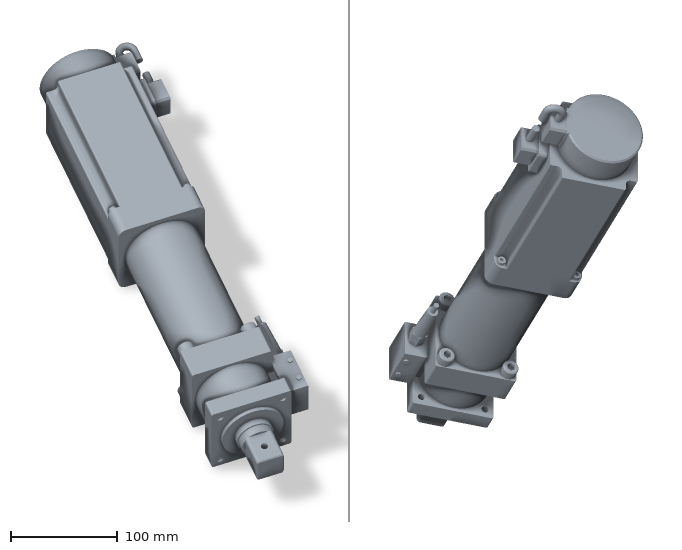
import cadquery as cq
import math


ENCODER_START = 19.0
MOTOR_START = 50.5
CORNER_CHANNEL_END = 210.0
MOTOR_END = 222.0
ADAPTER_FLANGE_END = 238.0
JOINT_FLANGE_START = 388.0
JOINT = 400.0
REAR_PLATE_END = 419.0
FRONT_FLANGE_START = 453.0
FRONT_FLANGE_END = 469.5
PILOT_END = 473.0
GLAND_END = 479.5
ROD_SHOULDER_END = 487.5
ROD_TIP = 519.0

MOTOR_WIDTH = 87.0
MOTOR_CORNER_RADIUS = 8.5
ENCODER_RADIUS = 38.5
ENCODER_CHAMFER = 1.5
TUBE_RADIUS = 37.0
FLANGE_WIDTH = 80.5
FLANGE_CORNER_RADIUS = 2.0
PILOT_DIAMETER = 61.5
GLAND_DIAMETER = 37.0
ROD_SHOULDER_DIAMETER = 33.5
ROD_END_WIDTH = 27.5
ROD_END_CORNER_RADIUS = 3.0
ROD_TIP_CHAMFER = 1.0
CROSS_HOLE_DIAMETER = 7.0
CROSS_HOLE_X = 502.5

CHANNEL_WIDTH = 12.0
CHANNEL_ROOT_RADIUS = 5.0
CHANNEL_LIP_RADIUS = 1.5
MOTOR_SCREW_OFFSET = 37.5
MOTOR_SCREW_DIAMETER = 8.0
MOTOR_SCREW_LENGTH = 4.0
MOTOR_SOCKET_DIAMETER = 4.0
MOTOR_SOCKET_DEPTH = 2.5

FLANGE_BOLT_OFFSET = 31.5
FLANGE_SCREW_DIAMETER = 15.5
FLANGE_SCREW_LENGTH = 10.0
FLANGE_SCREW_EDGE_RADIUS = 1.5
FLANGE_SOCKET_DIAMETER = 8.5
FLANGE_SOCKET_DEPTH = 5.0
FLANGE_HOLE_DIAMETER = 7.0

CABLE_DIAMETER = 7.5
CONNECTOR_HEIGHT = 26.0
CONNECTOR_CHAMFER = 2.0
ENCODER_CONNECTOR_START = 19.5
ENCODER_CONNECTOR_LENGTH = 25.0
ENCODER_PAD_TOP = 37.5
ENCODER_PAD_HEIGHT = 29.0
ENCODER_CONNECTOR_TOP = 54.0
ENCODER_CABLE_Y = 46.0
CABLE_BEND_RADIUS = 7.5
ENCODER_CABLE_END = 24.5
POWER_CONNECTOR_START = 59.5
POWER_CONNECTOR_LENGTH = 25.5
POWER_CONNECTOR_TOP = 68.5
POWER_BASE_OVERHANG = 3.0
POWER_BASE_HEIGHT = 36.5
POWER_BASE_TOP = 52.5
POWER_BASE_CORNER_RADIUS = 3.5
POWER_CABLE_START = 41.0

SENSOR_START = 409.0
SENSOR_END = 454.0
SENSOR_BOTTOM = 41.0
SENSOR_TOP = 63.5
SENSOR_HEIGHT = 36.5
SENSOR_EDGE_RADIUS = 1.5
SENSOR_SCREW_STATIONS = (420.0, 442.5)
SENSOR_SCREW_Y = 58.0
SENSOR_SCREW_DIAMETER = 5.0
SENSOR_SCREW_SPAN = 39.5
SENSOR_FOOT_START = 423.0
SENSOR_FOOT_LENGTH = 26.0
SENSOR_FOOT_HEIGHT = 26.0
PLUG_Y = 53.0
PLUG_NUT_START = 395.0
PLUG_NUT_WIDTH = 14.0
PLUG_SLEEVE_START = 359.0
PLUG_SLEEVE_SMALL_DIAMETER = 11.0
PLUG_SLEEVE_LARGE_DIAMETER = 14.0
PLUG_CABLE_START = 348.0
PLUG_CABLE_DIAMETER = 5.0


def section(x, y=0.0):
    """Workplane across the X axis at station x, with its local x along +Z."""
    return cq.Workplane(cq.Plane(origin=(x, y, 0), xDir=(0, 0, 1), normal=(1, 0, 0)))


def rod(start, end, diameter, y=0.0):
    """Round bar along X."""
    return section(start, y).circle(diameter / 2).extrude(end - start)


def square_bar(start, end, width, corner_radius):
    """Square bar along X with rounded long edges."""
    return section(start).rect(width, width).extrude(end - start).edges("|X").fillet(corner_radius)


def box(x_range, y_range, height):
    """Box between X and Y limits, centred on Z = 0."""
    size_x = x_range[1] - x_range[0]
    size_y = y_range[1] - y_range[0]
    return cq.Workplane("XY").box(size_x, size_y, height, centered=(False, False, True)).translate(
        (x_range[0], y_range[0], 0)
    )


def four_corners(offset):
    """Points at the corners of a square pattern centred on the axis."""
    return [(side * offset, level * offset) for side in (-1, 1) for level in (-1, 1)]


def socket_screws(seat, offset, diameter, length, socket_diameter, socket_depth, edge_radius=None):
    """Four screw heads standing on a face at X = seat, with hexagon sockets facing -X."""
    points = four_corners(offset)
    heads = section(seat - length).pushPoints(points).circle(diameter / 2).extrude(length)
    if edge_radius:
        heads = heads.faces("<X").edges().fillet(edge_radius)
    sockets = section(seat - length).pushPoints(points).polygon(6, socket_diameter).extrude(socket_depth)
    return heads.cut(sockets)


def corner_channels():
    """Long notches in the four edges of the motor, with a rounded root."""
    channel_length = CORNER_CHANNEL_END - MOTOR_START
    half = MOTOR_WIDTH / 2
    cutter = (
        section(MOTOR_START)
        .pushPoints(four_corners(half))
        .rect(2 * CHANNEL_WIDTH, 2 * CHANNEL_WIDTH)
        .extrude(channel_length)
    )
    return cutter.edges("|X").fillet(CHANNEL_ROOT_RADIUS)


def motor_housing():
    half = MOTOR_WIDTH / 2
    lip = half - CHANNEL_WIDTH
    channel_middle = (MOTOR_START + CORNER_CHANNEL_END) / 2
    finned = section(MOTOR_START).rect(MOTOR_WIDTH, MOTOR_WIDTH).extrude(CORNER_CHANNEL_END - MOTOR_START)
    finned = finned.cut(corner_channels())
    for side in (-1, 1):
        for level in (-1, 1):
            for y, z in ((side * half, level * lip), (side * lip, level * half)):
                lip_edge = cq.selectors.NearestToPointSelector((channel_middle, y, z))
                finned = finned.edges(lip_edge).fillet(CHANNEL_LIP_RADIUS)
    plate = square_bar(CORNER_CHANNEL_END, MOTOR_END, MOTOR_WIDTH, MOTOR_CORNER_RADIUS)
    screws = socket_screws(
        CORNER_CHANNEL_END,
        MOTOR_SCREW_OFFSET,
        MOTOR_SCREW_DIAMETER,
        MOTOR_SCREW_LENGTH,
        MOTOR_SOCKET_DIAMETER,
        MOTOR_SOCKET_DEPTH,
    )
    return finned.union(plate).union(screws)


def encoder():
    cover = rod(ENCODER_START, MOTOR_START, 2 * ENCODER_RADIUS)
    return cover.faces("<X").chamfer(ENCODER_CHAMFER)


def encoder_connector():
    """Connector block on an encoder pad, with a cable that turns back on itself."""
    end = ENCODER_CONNECTOR_START + ENCODER_CONNECTOR_LENGTH
    pad = box((ENCODER_START, end), (0, ENCODER_PAD_TOP), ENCODER_PAD_HEIGHT)
    block = box((ENCODER_CONNECTOR_START, end), (ENCODER_PAD_TOP, ENCODER_CONNECTOR_TOP), CONNECTOR_HEIGHT)
    block = block.edges("|Y").chamfer(CONNECTOR_CHAMFER)
    bend_x = CABLE_BEND_RADIUS + CABLE_DIAMETER / 2
    block_middle = ENCODER_CONNECTOR_START + ENCODER_CONNECTOR_LENGTH / 2
    path = (
        cq.Workplane("XY")
        .moveTo(block_middle, ENCODER_CABLE_Y)
        .lineTo(bend_x, ENCODER_CABLE_Y)
        .threePointArc(
            (bend_x - CABLE_BEND_RADIUS, ENCODER_CABLE_Y + CABLE_BEND_RADIUS),
            (bend_x, ENCODER_CABLE_Y + 2 * CABLE_BEND_RADIUS),
        )
        .lineTo(ENCODER_CABLE_END, ENCODER_CABLE_Y + 2 * CABLE_BEND_RADIUS)
    )
    cable = section(block_middle, ENCODER_CABLE_Y).circle(CABLE_DIAMETER / 2).sweep(path)
    return pad.union(block).union(cable)


def power_connector():
    """Connector block on a wider base, with a straight cable towards -X."""
    end = POWER_CONNECTOR_START + POWER_CONNECTOR_LENGTH
    base = box(
        (POWER_CONNECTOR_START - POWER_BASE_OVERHANG, end + POWER_BASE_OVERHANG),
        (MOTOR_WIDTH / 2, POWER_BASE_TOP),
        POWER_BASE_HEIGHT,
    )
    base = base.edges("|Y").fillet(POWER_BASE_CORNER_RADIUS)
    block = box((POWER_CONNECTOR_START, end), (POWER_BASE_TOP, POWER_CONNECTOR_TOP), CONNECTOR_HEIGHT)
    block = block.edges("|Y").chamfer(CONNECTOR_CHAMFER)
    cable_y = ENCODER_CABLE_Y + 2 * CABLE_BEND_RADIUS
    cable = rod(POWER_CABLE_START, end - POWER_BASE_OVERHANG, CABLE_DIAMETER, cable_y)
    return base.union(block).union(cable)


def make_motor():
    return motor_housing().union(encoder()).union(encoder_connector()).union(power_connector())


def make_coupling_housing():
    adapter_flange = square_bar(MOTOR_END, ADAPTER_FLANGE_END, MOTOR_WIDTH, MOTOR_CORNER_RADIUS)
    tube = rod(ADAPTER_FLANGE_END, JOINT_FLANGE_START, 2 * TUBE_RADIUS)
    joint_flange = square_bar(JOINT_FLANGE_START, JOINT, FLANGE_WIDTH, FLANGE_CORNER_RADIUS)
    screws = socket_screws(
        JOINT_FLANGE_START,
        FLANGE_BOLT_OFFSET,
        FLANGE_SCREW_DIAMETER,
        FLANGE_SCREW_LENGTH,
        FLANGE_SOCKET_DIAMETER,
        FLANGE_SOCKET_DEPTH,
        FLANGE_SCREW_EDGE_RADIUS,
    )
    return adapter_flange.union(tube).union(joint_flange).union(screws)


def front_flange():
    flange = square_bar(FRONT_FLANGE_START, FRONT_FLANGE_END, FLANGE_WIDTH, FLANGE_CORNER_RADIUS)
    holes = (
        section(FRONT_FLANGE_START)
        .pushPoints(four_corners(FLANGE_BOLT_OFFSET))
        .circle(FLANGE_HOLE_DIAMETER / 2)
        .extrude(FRONT_FLANGE_END - FRONT_FLANGE_START)
    )
    return flange.cut(holes)


def piston_rod():
    """Stepped nose, then the square rod end with its cross hole along Z."""
    pilot = rod(FRONT_FLANGE_END, PILOT_END, PILOT_DIAMETER)
    gland = rod(PILOT_END, GLAND_END, GLAND_DIAMETER)
    shoulder = rod(GLAND_END, ROD_SHOULDER_END, ROD_SHOULDER_DIAMETER)
    square_end = square_bar(ROD_SHOULDER_END, ROD_TIP, ROD_END_WIDTH, ROD_END_CORNER_RADIUS)
    square_end = square_end.faces(">X").chamfer(ROD_TIP_CHAMFER)
    cross_hole = (
        cq.Workplane("XY")
        .center(CROSS_HOLE_X, 0)
        .circle(CROSS_HOLE_DIAMETER / 2)
        .extrude(ROD_END_WIDTH, both=True)
    )
    return pilot.union(gland).union(shoulder).union(square_end.cut(cross_hole))


def sensor_plug():
    """Hexagonal nut with ridges at +Z and -Z, tapered sleeve and thin cable along X."""
    nut_corners = PLUG_NUT_WIDTH / math.cos(math.pi / 6)
    nut = section(PLUG_NUT_START, PLUG_Y).polygon(6, nut_corners).extrude(SENSOR_START - PLUG_NUT_START)
    sleeve = (
        section(PLUG_SLEEVE_START, PLUG_Y)
        .circle(PLUG_SLEEVE_SMALL_DIAMETER / 2)
        .workplane(offset=PLUG_NUT_START - PLUG_SLEEVE_START)
        .circle(PLUG_SLEEVE_LARGE_DIAMETER / 2)
        .loft()
    )
    cable = rod(PLUG_CABLE_START, PLUG_SLEEVE_START, PLUG_CABLE_DIAMETER, PLUG_Y)
    return nut.union(sleeve).union(cable)


def sensor():
    """Sensor box on a foot that reaches into the cylinder tube."""
    case = box((SENSOR_START, SENSOR_END), (SENSOR_BOTTOM, SENSOR_TOP), SENSOR_HEIGHT)
    case = case.faces("<Y").edges("|X").fillet(SENSOR_EDGE_RADIUS)
    foot = box(
        (SENSOR_FOOT_START, SENSOR_FOOT_START + SENSOR_FOOT_LENGTH),
        (0, SENSOR_BOTTOM),
        SENSOR_FOOT_HEIGHT,
    )
    screws = (
        cq.Workplane("XY")
        .pushPoints([(x, SENSOR_SCREW_Y) for x in SENSOR_SCREW_STATIONS])
        .circle(SENSOR_SCREW_DIAMETER / 2)
        .extrude(SENSOR_SCREW_SPAN / 2, both=True)
    )
    return case.union(foot).union(screws).union(sensor_plug())


def make_cylinder():
    rear_plate = square_bar(JOINT, REAR_PLATE_END, FLANGE_WIDTH, FLANGE_CORNER_RADIUS)
    tube = rod(REAR_PLATE_END, FRONT_FLANGE_START, 2 * TUBE_RADIUS)
    return rear_plate.union(tube).union(front_flange()).union(piston_rod()).union(sensor())


motor = make_motor()
coupling_housing = make_coupling_housing()
cylinder = make_cylinder()

result = cq.Compound.makeCompound([motor.val(), coupling_housing.val(), cylinder.val()])